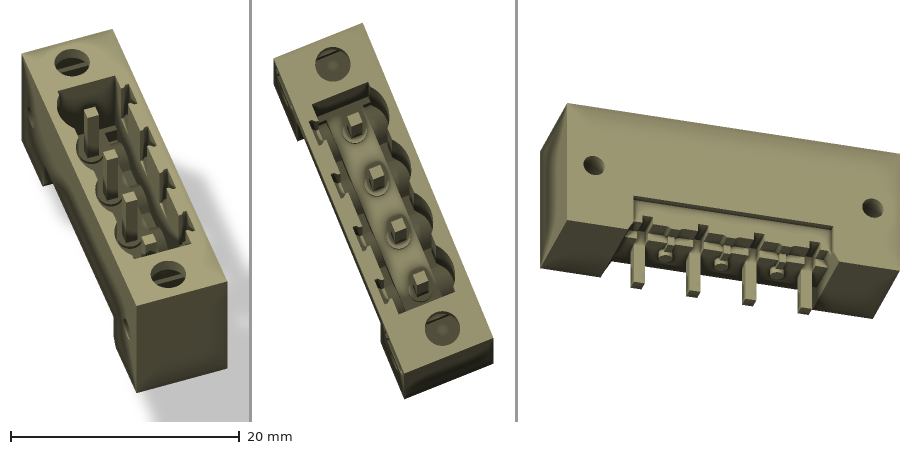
import cadquery as cq
import math


length = 30.32
height = 12.0
front_y = -3.82
back_y = 4.6

pole_count = 4
flange_hole_spacing = 25.4
pitch = flange_hole_spacing / (pole_count + 1)
pole_xs = [(i - (pole_count - 1) / 2) * pitch for i in range(pole_count)]
gap_xs = [(a + b) / 2 for a, b in zip(pole_xs, pole_xs[1:])]
flange_xs = [-flange_hole_spacing / 2, flange_hole_spacing / 2]

pin_width = 1.0
pin_depth = 1.05
pin_bottom_z = -3.18
pin_top_z = 11.0

cavity_half_length = 10.1
cavity_front_y = -2.27
cavity_back_y = 3.05
scallop_radius = 3.03

bar_top_z = 5.15
bar_front_y = -1.55
bar_back_y = 1.9
bar_bottom_z = 0.65
trough_z = 3.75
trough_half_length = 9.55
collar_radius = 1.05
collar_height = 0.3

hump_radius = 1.7
hump_arc_half_width = 1.2
hump_foot_half_width = 1.67
hump_flank_angle = 48.0

groove_back_y = 3.88
groove_wide_end_y = 3.58
groove_neck_y = 3.3
groove_half_width = 1.18
groove_neck_half_width = 0.9
groove_floor_z = 7.85

front_recess_half_length = 9.1
front_recess_top_z = 3.55
front_recess_depth = 0.7
back_recess_top_z = 8.82

foot_gap_half_length = 9.65
foot_gap_top_half_length = 8.85
foot_gap_height = 1.35
pin_slot_width = 0.97
pin_slot_top_z = 2.1

ridge_half_width = 0.67
ridge_tip_half_width = 0.4
ridge_depth = 0.18
stud_radius = 0.6
rib_width = 0.6
rib_front_y = -1.82
rib_bottom_z = 0.33
rib_top_z = 1.18

screw_hole_radius = 1.55
screw_hole_depth = 1.2
cross_hole_radius = 0.97
cross_hole_z = 6.0
nut_slot_half_width = 2.0
nut_slot_floor_depth = 2.97
relief_slot_half_width = 1.55
relief_slot_floor_depth = 3.95


def block(x_range, y_range, z_range):
    """Axis-aligned box spanning the three given (low, high) ranges."""
    lows, highs = zip(x_range, y_range, z_range)
    sizes = [high - low for low, high in zip(lows, highs)]
    return cq.Workplane("XY").box(*sizes, centered=False).translate(lows)


def centred_block(x, half_width, y_range, z_range):
    """Box of the given half width about the plane at x."""
    return block((x - half_width, x + half_width), y_range, z_range)


def front_profile(y_range):
    """Sketch plane facing -Y and the extrusion length that fills y_range."""
    return cq.Workplane("XZ", origin=(0, y_range[1], 0)), y_range[1] - y_range[0]


def cavity_outline(z_range):
    """Mating cavity: a rectangle widened at the front by an arc around each pole."""
    cavity = centred_block(0, cavity_half_length, (cavity_front_y, cavity_back_y), z_range)
    scallop_half_width = math.sqrt(scallop_radius**2 - cavity_front_y**2)
    for x in pole_xs:
        scallop = (
            cq.Workplane("XY", origin=(x, 0, z_range[0]))
            .moveTo(-scallop_half_width, cavity_front_y)
            .threePointArc((0, -scallop_radius), (scallop_half_width, cavity_front_y))
            .close()
            .extrude(z_range[1] - z_range[0])
        )
        cavity = cavity.union(scallop)
    return cavity


def hump(x, y_range):
    """Rounded hump with straight flanks, lying along Y on the trough floor."""
    flank_height = (hump_foot_half_width - hump_arc_half_width) * math.tan(math.radians(hump_flank_angle))
    shoulder_z = trough_z + flank_height
    arc_rise = hump_radius - math.sqrt(hump_radius**2 - hump_arc_half_width**2)
    plane, span = front_profile(y_range)
    return (
        plane.moveTo(x - hump_foot_half_width, trough_z)
        .lineTo(x - hump_arc_half_width, shoulder_z)
        .threePointArc((x, shoulder_z + arc_rise), (x + hump_arc_half_width, shoulder_z))
        .lineTo(x + hump_foot_half_width, trough_z)
        .close()
        .extrude(span)
    )


def mating_cavity():
    """Space removed above the bar, the collars and the two humped troughs."""
    cavity = cavity_outline((bar_top_z, height))
    for x in pole_xs:
        collar = cq.Workplane("XY", origin=(x, 0, bar_top_z)).circle(collar_radius).extrude(collar_height)
        cavity = cavity.cut(collar)

    for y_range in [(-scallop_radius, bar_front_y), (bar_back_y, cavity_back_y)]:
        trough = centred_block(0, trough_half_length, y_range, (trough_z, bar_top_z))
        trough = trough.intersect(cavity_outline((trough_z, bar_top_z)))
        for x in pole_xs:
            trough = trough.cut(hump(x, y_range))
        cavity = cavity.union(trough)
    return cavity


def coding_groove(x):
    """Dovetail groove in the back wall of the cavity, open at the top."""
    right_side = [
        (groove_neck_half_width, cavity_back_y),
        (groove_neck_half_width, groove_neck_y),
        (groove_half_width, groove_wide_end_y),
        (groove_half_width, groove_back_y),
    ]
    left_side = [(-px, py) for px, py in reversed(right_side)]
    return (
        cq.Workplane("XY", origin=(x, 0, groove_floor_z))
        .polyline(right_side + left_side)
        .close()
        .extrude(height - groove_floor_z)
    )


def foot_gap():
    """Trapezoidal opening under the front and back walls, with the bar left standing lower."""
    plane, span = front_profile((front_y, back_y))
    gap = (
        plane.moveTo(-foot_gap_half_length, 0)
        .lineTo(-foot_gap_top_half_length, foot_gap_height)
        .lineTo(foot_gap_top_half_length, foot_gap_height)
        .lineTo(foot_gap_half_length, 0)
        .close()
        .extrude(span)
    )
    bar = centred_block(0, foot_gap_half_length, (bar_front_y, bar_back_y), (bar_bottom_z, foot_gap_height))
    return gap.cut(bar)


def floor_details(x):
    """Ridge, stud and rib hanging under the floor between two poles."""
    plane, span = front_profile((front_y + front_recess_depth, bar_front_y))
    ridge_bottom_z = foot_gap_height - ridge_depth
    ridge = (
        plane.moveTo(x - ridge_half_width, foot_gap_height)
        .lineTo(x - ridge_tip_half_width, ridge_bottom_z)
        .lineTo(x + ridge_tip_half_width, ridge_bottom_z)
        .lineTo(x + ridge_half_width, foot_gap_height)
        .close()
        .extrude(span)
    )
    stud = cq.Workplane("XY", origin=(x, 0, 0)).circle(stud_radius).extrude(bar_bottom_z)
    rib = centred_block(x, rib_width / 2, (rib_front_y, 0), (rib_bottom_z, rib_top_z))
    return ridge.union(rib).union(stud)


def flange_cutout(x):
    """Screw hole, stepped nut slot open at the back, and cross hole of one flange."""
    hole_bottom_z = height - screw_hole_depth
    nut_floor_z = height - nut_slot_floor_depth
    relief_floor_z = height - relief_slot_floor_depth
    slot_y_range = (-nut_slot_half_width, back_y)

    hole_plane = cq.Workplane("XY", origin=(x, 0, hole_bottom_z))
    screw_hole = hole_plane.circle(screw_hole_radius).extrude(screw_hole_depth)
    nut_slot = centred_block(x, nut_slot_half_width, slot_y_range, (nut_floor_z, hole_bottom_z))
    relief_slot = centred_block(x, relief_slot_half_width, slot_y_range, (relief_floor_z, nut_floor_z))
    plane, span = front_profile((front_y, back_y))
    cross_hole = plane.center(x, cross_hole_z).circle(cross_hole_radius).extrude(span)
    return screw_hole.union(nut_slot).union(relief_slot).union(cross_hole)


def pin_slot(x):
    """Slot in front of a pin: pin-wide through the bar and slightly narrower in the wall above."""
    wall_slot = centred_block(x, pin_slot_width / 2, (front_y, 0), (foot_gap_height, pin_slot_top_z))
    bar_slot = centred_block(x, pin_width / 2, (front_y, 0), (0, foot_gap_height))
    return wall_slot.union(bar_slot)


def make_pin(x):
    """Straight rectangular contact pin through the housing floor."""
    return centred_block(x, pin_width / 2, (-pin_depth / 2, pin_depth / 2), (pin_bottom_z, pin_top_z))


def make_housing():
    """Moulded housing with its cavity, recesses, flange holes and pin passages."""
    housing = centred_block(0, length / 2, (front_y, back_y), (0, height))
    housing = housing.cut(mating_cavity())

    front_recess_y_range = (front_y, front_y + front_recess_depth)
    housing = housing.cut(
        centred_block(0, front_recess_half_length, front_recess_y_range, (0, front_recess_top_z))
    )
    housing = housing.cut(
        centred_block(0, foot_gap_half_length, (groove_back_y, back_y), (0, back_recess_top_z))
    )
    housing = housing.cut(foot_gap())

    for x in gap_xs:
        housing = housing.union(floor_details(x))
    for x in flange_xs:
        housing = housing.cut(flange_cutout(x))
    for x in pole_xs:
        housing = housing.cut(coding_groove(x)).cut(pin_slot(x)).cut(make_pin(x))
    return housing.solids()


housing = make_housing()
pins = [make_pin(x) for x in pole_xs]

result = cq.Compound.makeCompound([housing.val(), *[pin.val() for pin in pins]])